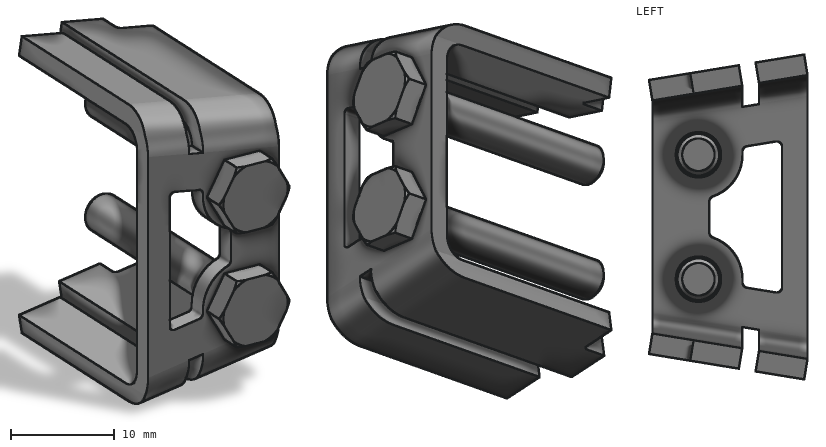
import cadquery as cq
import math


overall_height = 31.33
sheet = 2.0
bend_inner = sheet
bend_outer = bend_inner + sheet
tilt = math.radians(9.3)
plate_back_y = 4.45
plate_front_y = -10.53
arm_inner_z = overall_height / 2 - sheet * math.cos(tilt)
arm_length = 23.15
tongue_length = 25.85
tongue_back_y = 0.78
slot_back_y = -4.23
slot_front_y = -5.83
corner_radius = 0.5

window_back_y = -1.05
window_front_y = -8.05
window_edge_z = 7.35
window_land_radius = 4.25

bolt_pitch = 12.0
hole_diameter = 4.4
shank_diameter = 4.0
shank_end = 25.1
shank_chamfer = 0.45
collar_diameter = 6.0
collar_height = 0.35
head_flats = 7.0
head_height = 2.4
head_chamfer_width = 0.38
head_chamfer_height = 0.22

bolt_heights = (-bolt_pitch / 2, bolt_pitch / 2)
reach = 2 * tongue_length


def sloped_z(y, front_z):
    """Height at y on an arm-parallel line that has height front_z at the front edge."""
    return front_z - (y - plate_front_y) * math.tan(tilt)


def side_edge(y):
    """Lower arm edge point at y, and a point further out along the arm normal."""
    base_z = sloped_z(y, arm_inner_z)
    rise = 2 * sheet
    return (y, base_z), (y + rise * math.sin(tilt), base_z + rise * math.cos(tilt))


def bent_sheet():
    """Upper half of the sheet: back plate, bend and full-width arm."""
    arm_plane = cq.Plane(
        origin=(0, plate_front_y, arm_inner_z),
        xDir=(1, 0, 0),
        normal=(0, -math.cos(tilt), math.sin(tilt)),
    )
    diagonal = math.sqrt(0.5)
    bend_x = -bend_outer
    bend_n = -bend_inner
    return (
        cq.Workplane(arm_plane)
        .moveTo(-tongue_length, 0)
        .lineTo(bend_x, 0)
        .threePointArc(
            (bend_x + bend_inner * diagonal, bend_n + bend_inner * diagonal),
            (-sheet, bend_n),
        )
        .lineTo(-sheet, -reach)
        .lineTo(0, -reach)
        .lineTo(0, bend_n)
        .threePointArc(
            (bend_x + bend_outer * diagonal, bend_n + bend_outer * diagonal),
            (bend_x, sheet),
        )
        .lineTo(-tongue_length, sheet)
        .close()
        .extrude(reach, both=True)
    )


def side_outline():
    """Long prism along X whose section is the upper half of the bracket outline."""
    front_low, front_high = side_edge(plate_front_y)
    back_low, back_high = side_edge(plate_back_y)
    return (
        cq.Workplane("YZ")
        .polyline([
            (plate_front_y, 0), front_low, front_high,
            back_high, back_low, (plate_back_y, 0),
        ])
        .close()
        .extrude(reach, both=True)
    )


def arm_slot():
    """Slot through the arm and the bend, ending where the bend meets the plate."""
    front_low, front_high = side_edge(slot_front_y)
    back_low, back_high = side_edge(slot_back_y)
    bend_line_z = arm_inner_z - bend_inner / math.cos(tilt)
    return (
        cq.Workplane("YZ")
        .polyline([
            (slot_front_y, sloped_z(slot_front_y, bend_line_z)), front_low, front_high,
            back_high, back_low, (slot_back_y, sloped_z(slot_back_y, bend_line_z)),
        ])
        .close()
        .extrude(reach, both=True)
    )


def arm_end_cuts():
    """Shortens the arm on both sides of the tongue, with a fillet at the tongue root."""
    normal = (0, math.sin(tilt), math.cos(tilt))
    tongue_z = sloped_z(tongue_back_y, arm_inner_z + sheet / math.cos(tilt))
    arm_face = cq.Plane(origin=(0, tongue_back_y, tongue_z), xDir=(1, 0, 0), normal=normal)
    cut_depth = 2 * sheet
    cut_length = reach - arm_length
    behind_tongue = (
        cq.Workplane(arm_face)
        .moveTo(-arm_length, 0)
        .rect(-cut_length, reach, centered=False)
        .extrude(cut_depth, both=True)
        .edges(cq.selectors.NearestToPointSelector((-arm_length, tongue_back_y, tongue_z)))
        .fillet(corner_radius)
    )
    slot_middle_y = (slot_front_y + slot_back_y) / 2
    front_arm = cq.Workplane("XY").box(cut_length, reach, reach, centered=False).translate(
        (-reach, slot_middle_y - reach, 0)
    )
    return behind_tongue.union(front_arm)


def plate_window():
    """Window in the back plate that leaves a round land around each bolt hole."""
    back_edge_z = window_edge_z - (window_back_y - window_front_y) * math.tan(tilt)
    window = (
        cq.Workplane("YZ")
        .polyline([
            (window_front_y, -window_edge_z), (window_front_y, window_edge_z),
            (window_back_y, back_edge_z), (window_back_y, -back_edge_z),
        ])
        .close()
        .extrude(-sheet)
    )
    lands = (
        cq.Workplane("YZ")
        .pushPoints([(0, z) for z in bolt_heights])
        .circle(window_land_radius)
        .extrude(-sheet)
    )
    land_extensions = (
        cq.Workplane("YZ")
        .pushPoints([(0, z + math.copysign(bolt_pitch / 2, z)) for z in bolt_heights])
        .rect(2 * window_land_radius, bolt_pitch)
        .extrude(-sheet)
    )
    return window.cut(lands).cut(land_extensions).edges("|X").fillet(corner_radius)


def make_bracket():
    upper_half = bent_sheet().intersect(side_outline()).cut(arm_slot()).cut(arm_end_cuts())
    bracket = upper_half.union(upper_half.mirror("XY"))
    holes = (
        cq.Workplane("YZ")
        .pushPoints([(0, z) for z in bolt_heights])
        .circle(hole_diameter / 2)
        .extrude(-sheet)
    )
    return bracket.cut(holes).cut(plate_window()).solids().val()


def make_bolt(height):
    """Hex bolt along X whose collar rests on the outer plate face."""
    shank = (
        cq.Workplane("YZ")
        .circle(shank_diameter / 2)
        .extrude(-shank_end)
        .faces("<X")
        .chamfer(shank_chamfer)
    )
    collar = cq.Workplane("YZ").circle(collar_diameter / 2).extrude(collar_height)
    head_corners = head_flats / math.cos(math.pi / 6)
    head_base = cq.Workplane("YZ", origin=(collar_height, 0, 0))
    head = head_base.polygon(6, head_corners).extrude(head_height)
    rounding = (
        head_base
        .circle(head_corners / 2)
        .extrude(head_height)
        .faces(">X")
        .chamfer(head_chamfer_height, head_chamfer_width)
    )
    bolt = shank.union(collar).union(head.intersect(rounding))
    return bolt.translate((0, 0, height)).solids().val()


bracket = make_bracket()
bolts = [make_bolt(height) for height in bolt_heights]
result = cq.Compound.makeCompound([bracket, *bolts])